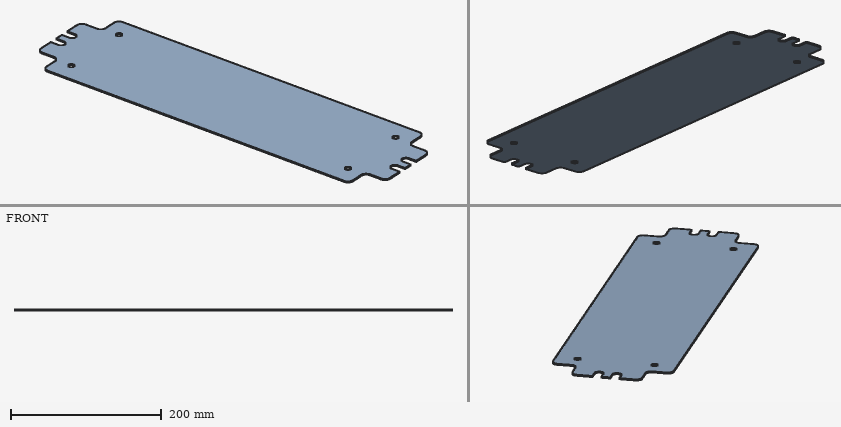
import cadquery as cq

length = 580.0
width = 165.0
thickness = 2.0

tab_reach = 35.5
tab_width = 95.0
corner_radius = 8.0

slot_depth = 18.5
slot_width = 12.0
slot_spacing = 24.5

hole_diameter = 8.5
hole_spacing_x = 460.0
hole_spacing_y = 105.0


def make_plate():
    """Wide body plus end tabs, with every corner rounded inside and out."""
    body = cq.Workplane("XY").box(length - 2 * tab_reach, width, thickness)
    tabs = cq.Workplane("XY").box(length, tab_width, thickness)
    return body.union(tabs).edges("|Z").fillet(corner_radius)


def make_end_slots(side):
    """Pair of round-bottomed slots, side = 1 for +X and -1 for -X."""
    return (
        cq.Workplane("XY")
        .pushPoints([(side * length / 2, y) for y in (-slot_spacing / 2, slot_spacing / 2)])
        .slot2D(2 * slot_depth, slot_width)
        .extrude(thickness, both=True)
    )


result = make_plate()

for side in (-1, 1):
    result = result.cut(make_end_slots(side))

result = (
    result.faces(">Z")
    .workplane()
    .rarray(hole_spacing_x, hole_spacing_y, 2, 2)
    .hole(hole_diameter)
)